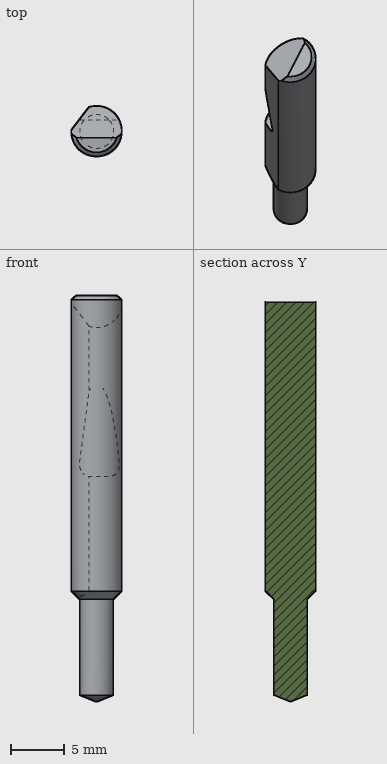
import cadquery as cq
import math

length = 38.1
shank_diameter = 4.7625
shank_radius = shank_diameter / 2
neck_diameter = 3.175
neck_radius = neck_diameter / 2

top_chamfer = 0.4
shank_length = 27.7
shoulder_height = shank_radius - neck_radius
tip_included_angle = 136
tip_height = neck_radius / math.tan(math.radians(tip_included_angle / 2))

bevel_start_y = -0.6

flat_direction = 142.5
flat_distance = 1.95

notch_top_depth = 8.3
notch_bottom_depth = 16.95
ramp_angle = 10
notch_radius = 1.2

cutter_size = 2 * shank_diameter


def turned_body():
    """Shank, conical shoulder, neck and pointed tip, revolved about Z."""
    shoulder_top_z = length - shank_length
    return (
        cq.Workplane("XZ")
        .moveTo(0, 0)
        .lineTo(neck_radius, tip_height)
        .lineTo(neck_radius, shoulder_top_z - shoulder_height)
        .lineTo(shank_radius, shoulder_top_z)
        .lineTo(shank_radius, length - top_chamfer)
        .lineTo(shank_radius - top_chamfer, length)
        .lineTo(0, length)
        .close()
        .revolve(360, (0, 0, 0), (0, 1, 0))
    )


def top_bevel():
    """Wedge removed above the 45 degree face at the top end."""
    return (
        cq.Workplane("YZ")
        .moveTo(bevel_start_y, length)
        .lineTo(bevel_start_y + cutter_size, length)
        .lineTo(bevel_start_y + cutter_size, length - cutter_size)
        .close()
        .extrude(cutter_size / 2, both=True)
    )


def side_flat():
    """Block removed outside the flat on the shank; the neck lies within the flat."""
    return (
        cq.Workplane("XY")
        .box(cutter_size, cutter_size, length, centered=(False, True, False))
        .translate((flat_distance, 0, 0))
        .rotate((0, 0, 0), (0, 0, 1), flat_direction)
    )


def side_notch():
    """Notch cut through along X, with an arc tangent to the ramp and to the step."""
    ramp = math.radians(ramp_angle)
    ramp_top_z = length - notch_top_depth
    step_z = length - notch_bottom_depth
    arc_z = step_z + notch_radius

    tangent_z = arc_z + notch_radius * math.sin(ramp)
    tangent_y = shank_radius - (ramp_top_z - tangent_z) * math.tan(ramp)
    arc_y = tangent_y + notch_radius * math.cos(ramp)

    middle = (math.pi / 2 - ramp) / 2
    arc_middle = (arc_y - notch_radius * math.cos(middle), arc_z - notch_radius * math.sin(middle))

    return (
        cq.Workplane("YZ")
        .moveTo(shank_radius, ramp_top_z)
        .lineTo(tangent_y, tangent_z)
        .threePointArc(arc_middle, (arc_y, step_z))
        .lineTo(cutter_size, step_z)
        .lineTo(cutter_size, ramp_top_z)
        .close()
        .extrude(cutter_size / 2, both=True)
    )


result = turned_body().cut(top_bevel()).cut(side_flat()).cut(side_notch())